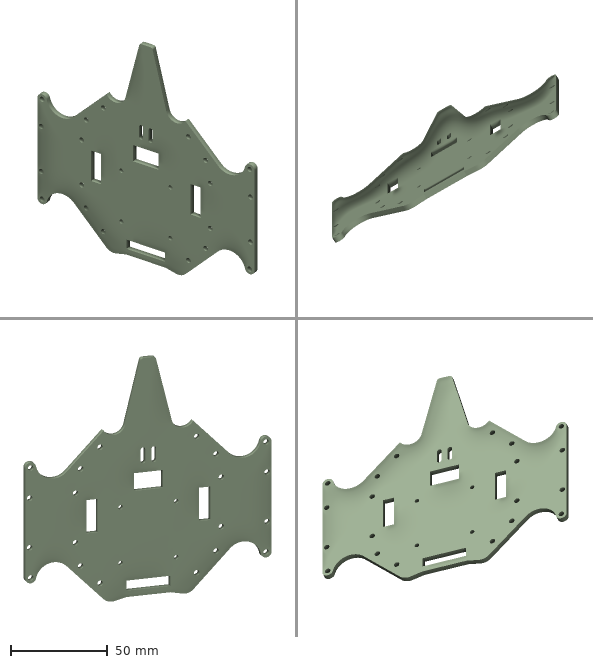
import cadquery as cq
import math

length_x = 135.0
length_z = 131.0
thickness = 3.0

hole_radius = 1.5
ear_radius = 3.0
ear_x = length_x / 2 - ear_radius
ear_z = 30.0
waist_radius = 10.0
waist_z = 32.8

nose_top_z = 83.2
nose_half_width = 3.9
nose_slope = 4.0
nose_corner_radius = 1.5
notch_radius = 6.5
notch_bottom_z = 42.9

bottom_z = nose_top_z - length_z
bulge_radius = 6.5
bottom_flat_z = -46.2
bottom_flat_half_width = 12.2

plate_hole_places = [(ear_x, ear_z), (65.1, 13.5), (40.0, 13.5), (37.1, 26.5), (26.5, 37.1)]
mount_hole_radius = 1.2
mount_pitch = 30.5
mount_center_z = -12.2

top_window = (0.0, 16.0, 15.9, 9.7)
bottom_window = (0.0, -40.0, 24.0, 5.5)
side_window_x = 30.9
side_window_width = 6.2
side_window_height = 18.2

slot_x = 3.0
slot_z = 30.1
slot_length = 8.6
slot_width = 2.5


def point_on_circle(center, radius, angle):
    """Point at the given angle in radians, measured from +X toward +Z."""
    return (center[0] + radius * math.cos(angle), center[1] + radius * math.sin(angle))


def add_arc(outline, center, radius, start, end):
    """Continue the outline with an arc from one angle to another."""
    middle = point_on_circle(center, radius, (start + end) / 2)
    return outline.threePointArc(middle, point_on_circle(center, radius, end))


def half_plate():
    """The +X half of the plate, without openings."""
    diagonal = math.pi / 4

    waist_lift = waist_z - ear_z
    waist_x = ear_x - math.sqrt((ear_radius + waist_radius) ** 2 - waist_lift ** 2)
    ear_angle = math.atan2(waist_lift, waist_x - ear_x)

    diagonal_sum = waist_x + waist_z - waist_radius * math.sqrt(2)

    nose_tilt = math.atan(1 / nose_slope)
    notch_z = notch_bottom_z + notch_radius
    nose_side_x = nose_half_width + (nose_top_z - notch_z) / nose_slope
    notch = (nose_side_x + notch_radius / math.cos(nose_tilt), notch_z)

    notch_to_diagonal = (diagonal_sum - notch[0] - notch[1]) / math.sqrt(2)
    notch_corner_angle = diagonal - math.acos(notch_to_diagonal / notch_radius)

    nose_corner_z = nose_top_z - nose_corner_radius
    nose_corner_x = (
        nose_half_width + nose_corner_radius / nose_slope - nose_corner_radius / math.cos(nose_tilt)
    )
    nose_corner = (nose_corner_x, nose_corner_z)

    bulge_z = bottom_z + bulge_radius
    bulge = (diagonal_sum + bulge_z - bulge_radius * math.sqrt(2), bulge_z)

    ramp_dx = bottom_flat_half_width - bulge[0]
    ramp_dz = bottom_flat_z - bulge[1]
    ramp_reach = math.hypot(ramp_dx, ramp_dz)
    flat_direction = math.atan2(ramp_dz, ramp_dx)
    ramp_angle = flat_direction + math.acos(bulge_radius / ramp_reach)

    upper_ear = (ear_x, ear_z)
    lower_ear = (ear_x, -ear_z)
    upper_waist = (waist_x, waist_z)
    lower_waist = (waist_x, -waist_z)
    waist_ear_angle = ear_angle - math.pi
    waist_diagonal_angle = -math.pi + diagonal

    outline = cq.Workplane("XZ").moveTo(0, bottom_flat_z)
    outline = outline.lineTo(bottom_flat_half_width, bottom_flat_z)
    outline = outline.lineTo(*point_on_circle(bulge, bulge_radius, ramp_angle))
    outline = add_arc(outline, bulge, bulge_radius, ramp_angle, -diagonal)
    outline = outline.lineTo(*point_on_circle(lower_waist, waist_radius, -waist_diagonal_angle))
    outline = add_arc(outline, lower_waist, waist_radius, -waist_diagonal_angle, -waist_ear_angle)
    outline = add_arc(outline, lower_ear, ear_radius, -ear_angle, 0)
    outline = outline.lineTo(length_x / 2, ear_z)
    outline = add_arc(outline, upper_ear, ear_radius, 0, ear_angle)
    outline = add_arc(outline, upper_waist, waist_radius, waist_ear_angle, waist_diagonal_angle)
    outline = outline.lineTo(*point_on_circle(notch, notch_radius, notch_corner_angle))
    outline = add_arc(outline, notch, notch_radius, notch_corner_angle, nose_tilt - math.pi)
    outline = outline.lineTo(*point_on_circle(nose_corner, nose_corner_radius, nose_tilt))
    outline = add_arc(outline, nose_corner, nose_corner_radius, nose_tilt, math.pi / 2)
    outline = outline.lineTo(0, nose_top_z).close()
    return outline.extrude(-thickness)


def cut_windows(plate, windows):
    """Cut rectangular openings through the plate."""
    for x, z, width, height in windows:
        plate = plate.cut(cq.Workplane("XZ").center(x, z).rect(width, height).extrude(-thickness))
    return plate


def cut_holes(plate, places, radius):
    """Cut round holes of one size through the plate."""
    return plate.cut(cq.Workplane("XZ").pushPoints(places).circle(radius).extrude(-thickness))


def cut_slots(plate):
    """Cut the pair of round-ended slots."""
    slots = cq.Workplane("XZ").pushPoints([(-slot_x, slot_z), (slot_x, slot_z)])
    return plate.cut(slots.slot2D(slot_length, slot_width, 90).extrude(-thickness))


signs = (-1, 1)
plate_holes = [(sx * x, sz * z) for x, z in plate_hole_places for sx in signs for sz in signs]
mount_holes = [
    (sx * mount_pitch / 2, mount_center_z + sz * mount_pitch / 2) for sx in signs for sz in signs
]
side_windows = [(sx * side_window_x, 0.0, side_window_width, side_window_height) for sx in signs]

right_half = half_plate()
result = right_half.union(right_half.mirror("YZ")).clean()
result = cut_holes(result, plate_holes, hole_radius)
result = cut_holes(result, mount_holes, mount_hole_radius)
result = cut_windows(result, [top_window, bottom_window] + side_windows)
result = cut_slots(result)